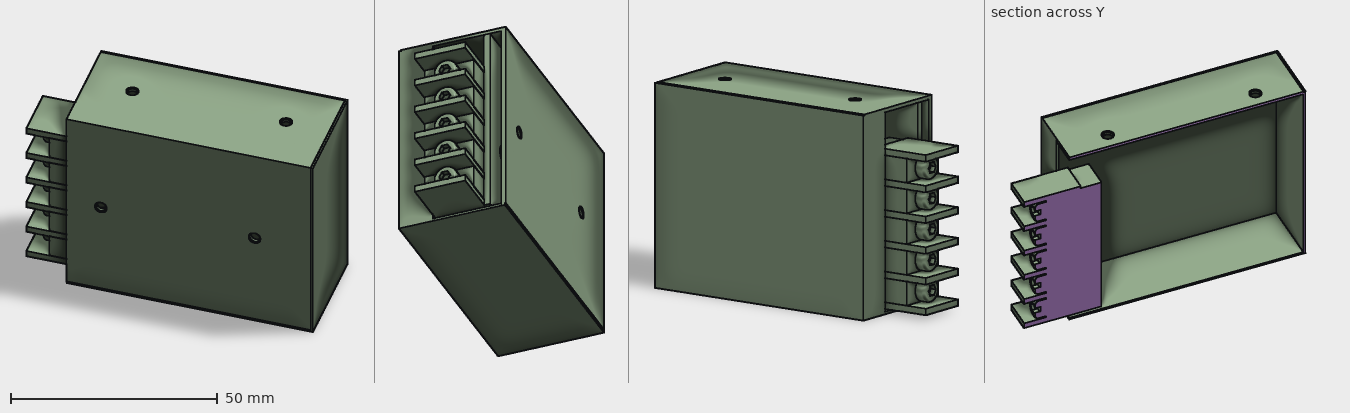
import cadquery as cq
import math

TOTAL_LENGTH = 74.5
CASE_WIDTH = 28.0
CASE_HEIGHT = 51.0
CASE_FRONT_X = 12.0

SIDE_THICKNESS = 1.2
TOP_THICKNESS = 1.0
FRAME_SETBACK = 0.5

COVER_THICKNESS = 0.7
COVER_STEP = 0.2
FLANGE_EDGE_Y = 19.1

HOLE_DIAMETER = 2.5
HOLE_CHAMFER = 0.26
HOLE_SPACING = 39.05
SIDE_HOLE_X = 20.7
SIDE_HOLE_Z = 25.8
TOP_HOLE_X = 23.9
TOP_HOLE_Y = 15.1

BOARD_Y = 4.1
BOARD_THICKNESS = 1.65
BOARD_BOTTOM_Z = 1.3
BOARD_REAR_CLEARANCE = 1.2
SPACER_DIAMETER = 5.15
SPACER_X = 20.7
SPACER_Z = 20.1

TERMINAL_COUNT = 5
BARRIER_STACK_HEIGHT = 39.7
BARRIER_THICKNESS = 1.65
BARRIER_LENGTH = 15.0
BARRIER_WIDTH = 13.2
BLOCK_CENTRE_Y = 12.2
BLOCK_FRONT_X = 5.8
BLOCK_REAR_X = 20.5
BLOCK_TOP_STEP = 0.6

SCREW_DIAMETER = 5.95
SCREW_HEIGHT = 2.9
SCREW_ROUNDING = 1.0
SOCKET_ACROSS_FLATS = 2.5
SOCKET_DEPTH = 1.5

TERMINAL_PITCH = (BARRIER_STACK_HEIGHT - BARRIER_THICKNESS) / TERMINAL_COUNT
BOARD_INNER_Y = BOARD_Y + BOARD_THICKNESS
BLOCK_WIDTH = 2 * (BLOCK_CENTRE_Y - BOARD_INNER_Y)
TOP_UNDERSIDE_Z = CASE_HEIGHT - TOP_THICKNESS


def box_between(low, high):
    """Axis-aligned box given by its two extreme corners."""
    size = [b - a for a, b in zip(low, high)]
    return cq.Workplane("XY").box(*size, centered=False).translate(low)


def mounting_hole(entry, inward, depth):
    """Cutter for a through hole with a chamfered mouth, starting at the outer face."""
    mouth_radius = HOLE_DIAMETER / 2 + HOLE_CHAMFER
    bore = cq.Solid.makeCylinder(HOLE_DIAMETER / 2, depth, entry, inward)
    mouth = cq.Solid.makeCone(mouth_radius, HOLE_DIAMETER / 2, HOLE_CHAMFER, entry, inward)
    return cq.Workplane(bore.fuse(mouth))


def housing_frame():
    """Side and top plates with two mounting holes in each."""
    rear_x = TOTAL_LENGTH - FRAME_SETBACK
    side = box_between((CASE_FRONT_X, 0, FRAME_SETBACK), (rear_x, SIDE_THICKNESS, CASE_HEIGHT))
    top = box_between(
        (CASE_FRONT_X, 0, TOP_UNDERSIDE_Z),
        (rear_x, CASE_WIDTH - FRAME_SETBACK, CASE_HEIGHT),
    )
    frame = side.union(top)
    for offset in (0, HOLE_SPACING):
        side_entry = cq.Vector(SIDE_HOLE_X + offset, 0, SIDE_HOLE_Z)
        top_entry = cq.Vector(TOP_HOLE_X + offset, TOP_HOLE_Y, CASE_HEIGHT)
        frame = frame.cut(mounting_hole(side_entry, cq.Vector(0, 1, 0), SIDE_THICKNESS))
        frame = frame.cut(mounting_hole(top_entry, cq.Vector(0, 0, -1), TOP_THICKNESS))
    return frame


def housing_cover():
    """Walls wrapping the rear, bottom and +Y side, with the flange at the terminal end."""
    inner_x = TOTAL_LENGTH - COVER_THICKNESS
    inner_y = CASE_WIDTH - COVER_THICKNESS
    top_z = CASE_HEIGHT - COVER_STEP
    shell = box_between((CASE_FRONT_X, COVER_STEP, 0), (TOTAL_LENGTH, CASE_WIDTH, top_z))
    cavity = box_between((CASE_FRONT_X, 0, COVER_THICKNESS), (inner_x, inner_y, CASE_HEIGHT))
    flange = box_between(
        (CASE_FRONT_X, FLANGE_EDGE_Y, 0),
        (CASE_FRONT_X + COVER_THICKNESS, CASE_WIDTH, top_z),
    )
    return shell.cut(cavity).union(flange)


def board_spacer():
    """Round spacer from the side plate to the circuit board."""
    spacer = cq.Solid.makeCylinder(
        SPACER_DIAMETER / 2,
        BOARD_Y - SIDE_THICKNESS,
        cq.Vector(SPACER_X, SIDE_THICKNESS, SPACER_Z),
        cq.Vector(0, 1, 0),
    )
    return cq.Workplane(spacer)


def make_housing():
    """Sheet-metal box open at the terminal end."""
    return housing_frame().union(housing_cover()).union(board_spacer())


def circuit_board():
    """Board resting against the spacer and reaching up to the top plate."""
    rear_x = TOTAL_LENGTH - COVER_THICKNESS - BOARD_REAR_CLEARANCE
    return box_between(
        (CASE_FRONT_X, BOARD_Y, BOARD_BOTTOM_Z),
        (rear_x, BOARD_INNER_Y, TOP_UNDERSIDE_Z),
    )


def terminal_screw(centre_z):
    """Rounded screw head seated on the block, with a hexagon socket."""
    socket_across_corners = SOCKET_ACROSS_FLATS / math.cos(math.pi / 6)
    seat = cq.Workplane("YZ", origin=(BLOCK_FRONT_X, BLOCK_CENTRE_Y, centre_z))
    head = seat.circle(SCREW_DIAMETER / 2).extrude(-SCREW_HEIGHT)
    head = head.faces("<X").edges().fillet(SCREW_ROUNDING)
    socket = (
        seat.workplane(offset=SOCKET_DEPTH - SCREW_HEIGHT)
        .polygon(6, socket_across_corners)
        .extrude(-SOCKET_DEPTH)
    )
    return head.cut(socket)


def terminal_block():
    """Block with barriers between its terminals and one screw per terminal."""
    block_top_z = BOARD_BOTTOM_Z + BARRIER_STACK_HEIGHT - BLOCK_TOP_STEP
    block = box_between(
        (BLOCK_FRONT_X, BOARD_INNER_Y, BOARD_BOTTOM_Z),
        (BLOCK_REAR_X, BOARD_INNER_Y + BLOCK_WIDTH, block_top_z),
    )
    barrier_low_y = BLOCK_CENTRE_Y - BARRIER_WIDTH / 2
    for index in range(TERMINAL_COUNT + 1):
        barrier_z = BOARD_BOTTOM_Z + index * TERMINAL_PITCH
        barrier = box_between(
            (0, barrier_low_y, barrier_z),
            (BARRIER_LENGTH, barrier_low_y + BARRIER_WIDTH, barrier_z + BARRIER_THICKNESS),
        )
        block = block.union(barrier)
    first_screw_z = BOARD_BOTTOM_Z + (BARRIER_THICKNESS + TERMINAL_PITCH) / 2
    for index in range(TERMINAL_COUNT):
        block = block.union(terminal_screw(first_screw_z + index * TERMINAL_PITCH))
    return block


def make_electronics():
    """Circuit board carrying the terminal block."""
    return circuit_board().union(terminal_block())


housing = make_housing()
electronics = make_electronics()
result = cq.Compound.makeCompound([housing.val(), electronics.val()])